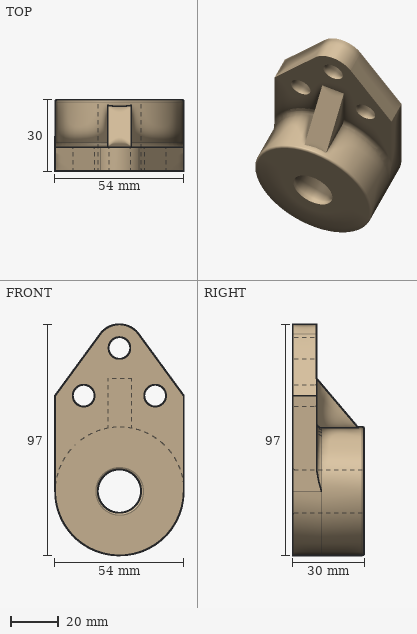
import cadquery as cq
import math

length = 97.0
width = 54.0
depth = 30.0
plate_thickness = 10.0
tip_radius = 10.0
bolt_diameter = 9.0
bolt_spread = 30.0
bolt_rise = 20.0
bore_diameter = 18.0
edge_round = 1.0
boss_fillet = 2.0
rib_width = 10.0
rib_foot = 20.3
rib_reach = 27.15

boss_radius = width / 2
bore_radius = bore_diameter / 2
tip_center_z = length - boss_radius - tip_radius
shoulder_z = tip_center_z - bolt_rise
diagonal = math.sqrt(0.5)


def mounting_face():
    """Sketch plane at Y = 0 whose local axes are +X and +Z; extrude negatively to go toward +Y."""
    return cq.Workplane("XZ")


def plate_outline():
    """Round bottom, straight sides, and flanks tangent to the rounded tip."""
    shoulder_distance = math.hypot(boss_radius, bolt_rise)
    shoulder_angle = math.atan2(-bolt_rise, boss_radius)
    tangent_angle = shoulder_angle + math.acos(tip_radius / shoulder_distance)
    tangent_x = tip_radius * math.cos(tangent_angle)
    tangent_z = tip_center_z + tip_radius * math.sin(tangent_angle)
    return (
        mounting_face()
        .moveTo(-boss_radius, 0)
        .threePointArc((0, -boss_radius), (boss_radius, 0))
        .lineTo(boss_radius, shoulder_z)
        .lineTo(tangent_x, tangent_z)
        .threePointArc((0, tip_center_z + tip_radius), (-tangent_x, tangent_z))
        .lineTo(-boss_radius, shoulder_z)
        .close()
    )


def make_boss():
    """Round boss, rounded at the rear and flared into the plate, trimmed to the plate outline."""
    flare_radius = boss_radius + boss_fillet
    flare_end = plate_thickness + boss_fillet
    arc_offset = boss_fillet * (1 - diagonal)
    rear_offset = edge_round * (1 - diagonal)
    flared_boss = (
        cq.Workplane("XY")
        .moveTo(0, plate_thickness)
        .lineTo(flare_radius, plate_thickness)
        .threePointArc((boss_radius + arc_offset, plate_thickness + arc_offset), (boss_radius, flare_end))
        .lineTo(boss_radius, depth - edge_round)
        .threePointArc((boss_radius - rear_offset, depth - rear_offset), (boss_radius - edge_round, depth))
        .lineTo(0, depth)
        .close()
        .revolve(360, (0, 0, 0), (0, 1, 0))
    )
    return flared_boss.intersect(plate_outline().extrude(-depth))


def make_rib():
    """Triangular rib bracing the plate, with its sloping toe and its root sunk into the boss."""
    root_z = bore_diameter
    toe_z = boss_radius - edge_round
    toe_reach = rib_reach + (boss_radius - toe_z) * (rib_reach - plate_thickness) / rib_foot
    return (
        cq.Workplane("YZ")
        .moveTo(plate_thickness, root_z)
        .lineTo(plate_thickness, boss_radius + rib_foot)
        .lineTo(toe_reach, toe_z)
        .lineTo(toe_reach, root_z)
        .close()
        .extrude(rib_width / 2, both=True)
    )


def make_bore():
    """Through bore with a rounded mouth on the mounting face."""
    mouth_offset = edge_round * (1 - diagonal)
    return (
        cq.Workplane("XY")
        .lineTo(bore_radius + edge_round, 0)
        .threePointArc((bore_radius + mouth_offset, mouth_offset), (bore_radius, edge_round))
        .lineTo(bore_radius, depth)
        .lineTo(0, depth)
        .close()
        .revolve(360, (0, 0, 0), (0, 1, 0))
    )


def make_bolt_holes():
    """One hole at the tip and one beside each shoulder."""
    centers = [
        (0, tip_center_z),
        (-bolt_spread / 2, shoulder_z),
        (bolt_spread / 2, shoulder_z),
    ]
    return mounting_face().pushPoints(centers).circle(bolt_diameter / 2).extrude(-plate_thickness)


plate = plate_outline().extrude(-plate_thickness)
body = plate.union(make_boss()).union(make_rib())
result = body.cut(make_bore()).cut(make_bolt_holes())